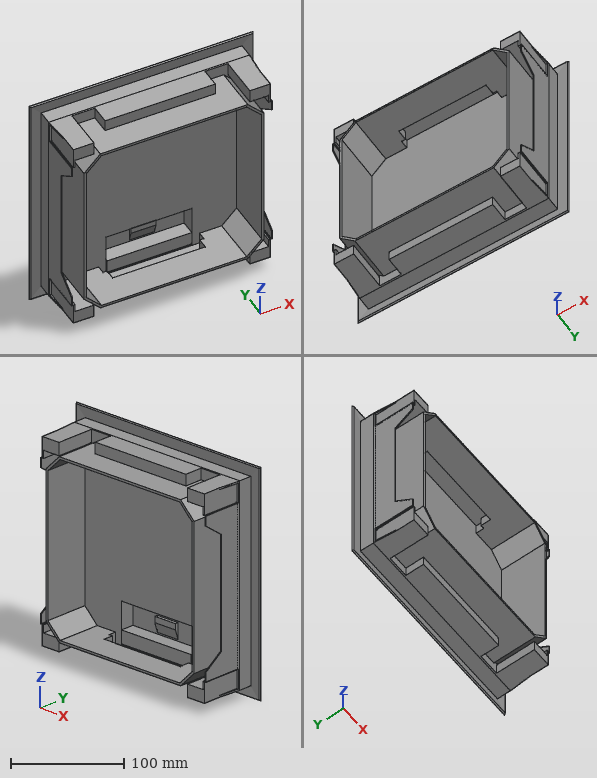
import cadquery as cq


body_size = 200.0
cover_depth = 16.0
flange_size = 223.0
flange_front_size = 221.1
flange_rim_depth = 1.0
flange_front_depth = 2.5
dish_depth = 1.8

overall_depth = 64.0
base_depth = 17.8
frame_depth = 59.7
collar_width = 179.2
collar_height = 177.7
collar_corner = 16.3
collar_wall = 2.5

post_face = 98.0
post_inner_side = 77.5
post_bottom = 87.2
web_bottom = 79.4
web_wall = 1.8
gusset_wall = 1.8
gusset_depth = 40.0

side_plate_wall = 1.0
cutout_depth = 40.0
cutout_half_floor = 56.0
cutout_half_mouth = 69.8

tab_width = 109.7
tab_depth = 37.5
tab_wall = 2.5
tab_wide_hollow = 100.3
tab_wide_depth = 24.3
tab_narrow_hollow = 92.3

opening_width = 85.8
opening_top = -54.8
opening_bottom = -95.6
latch_gap = 0.78
latch_plate_depth = 2.2
latch_block_top = -81.8
latch_block_depth = 17.0
grip_width = 25.0
grip_top = -64.0
grip_edge = -70.0
grip_bottom = -80.3
grip_depth = 5.5

half_body = body_size / 2


def at_depth(depth):
    """XZ sketch plane at a depth; extruding from it goes toward the front."""
    return cq.Workplane("XZ").workplane(offset=depth)


def block(x_min, x_max, z_min, z_max, depth_start, depth_end):
    return (
        at_depth(depth_start)
        .center((x_min + x_max) / 2, (z_min + z_max) / 2)
        .rect(x_max - x_min, z_max - z_min)
        .extrude(depth_end - depth_start)
    )


def square_frustum(back_size, back_depth, front_size, front_depth):
    return (
        at_depth(back_depth)
        .rect(back_size, back_size)
        .workplane(offset=front_depth - back_depth)
        .rect(front_size, front_size)
        .loft(ruled=True)
    )


def octagon(inset, depth_start, depth_end):
    """Rectangle with cut corners, its outline moved inward by inset."""
    corner = collar_corner - (2 - 2**0.5) * inset
    return (
        at_depth(depth_start)
        .rect(collar_width - 2 * inset, collar_height - 2 * inset)
        .extrude(depth_end - depth_start)
        .edges("|Y")
        .chamfer(corner)
    )


def make_cover():
    flange_back = square_frustum(body_size, 0, flange_size, flange_rim_depth)
    flange_rim = square_frustum(flange_size, flange_rim_depth, flange_front_size, flange_front_depth)
    dish = square_frustum(body_size, dish_depth, flange_front_size, flange_front_depth)
    body = block(-half_body, half_body, -half_body, half_body, 0, cover_depth)
    cover = flange_back.union(flange_rim).cut(dish).union(body)
    half_opening = opening_width / 2
    opening = block(-half_opening, half_opening, opening_bottom, opening_top, 0, cover_depth)
    return cover.cut(opening)


def make_post():
    """Corner post at +X, +Z with its thin web and the tapered gusset on its outer side."""
    leg = block(post_inner_side, post_face, post_bottom, half_body, cover_depth, frame_depth)
    web = block(post_face - web_wall, post_face, web_bottom, half_body, cover_depth, frame_depth)
    gusset = (
        cq.Workplane("XY")
        .workplane(offset=half_body - gusset_wall)
        .polyline([
            (post_face, -base_depth),
            (half_body, -base_depth),
            (post_face, -gusset_depth),
        ])
        .close()
        .extrude(gusset_wall)
    )
    return leg.union(web).union(gusset)


def make_side_plate():
    """Thin plate along the +X side with a trapezoidal cutout in its front edge."""
    return (
        cq.Workplane("YZ")
        .workplane(offset=half_body - side_plate_wall)
        .polyline([
            (-cover_depth, -web_bottom),
            (-frame_depth, -web_bottom),
            (-frame_depth, -cutout_half_mouth),
            (-cutout_depth, -cutout_half_floor),
            (-cutout_depth, cutout_half_floor),
            (-frame_depth, cutout_half_mouth),
            (-frame_depth, web_bottom),
            (-cover_depth, web_bottom),
        ])
        .close()
        .extrude(side_plate_wall)
    )


def make_tab():
    """Block on the +Z side of the collar."""
    half_width = tab_width / 2
    collar_inside = collar_height / 2 - collar_wall
    return block(-half_width, half_width, collar_inside, half_body, cover_depth, tab_depth)


def make_tab_hollow():
    """Stepped hollow that opens the +Z tab toward the inside of the collar."""
    bottom = collar_height / 2 - collar_wall
    top = half_body - tab_wall
    wide = tab_wide_hollow / 2
    narrow = tab_narrow_hollow / 2
    wide_part = block(-wide, wide, bottom, top, cover_depth, tab_wide_depth)
    narrow_part = block(-narrow, narrow, bottom, top, cover_depth, tab_depth - tab_wall)
    return wide_part.union(narrow_part)


def make_housing():
    housing = block(-half_body, half_body, -half_body, half_body, cover_depth, base_depth)
    housing = housing.union(octagon(0, cover_depth, overall_depth))

    side_plate = make_side_plate()
    post = make_post()
    for right_side in (side_plate, post, post.mirror("XY")):
        housing = housing.union(right_side).union(right_side.mirror("YZ"))

    tab = make_tab()
    housing = housing.union(tab).union(tab.mirror("XY"))
    housing = housing.cut(octagon(collar_wall, cover_depth, overall_depth))
    hollow = make_tab_hollow()
    return housing.cut(hollow).cut(hollow.mirror("XY"))


def make_latch():
    half_width = opening_width / 2 - latch_gap
    plate = block(-half_width, half_width, opening_bottom, opening_top, 0, latch_plate_depth)
    foot = block(-half_width, half_width, opening_bottom, latch_block_top, 0, latch_block_depth)
    grip = (
        cq.Workplane("YZ")
        .polyline([
            (-latch_plate_depth, grip_top),
            (-grip_depth, grip_top),
            (-grip_depth, grip_edge),
            (-latch_plate_depth, grip_bottom),
        ])
        .close()
        .extrude(grip_width / 2, both=True)
    )
    return plate.union(foot).union(grip)


cover = make_cover()
housing = make_housing()
latch = make_latch()

result = cq.Compound.makeCompound([body.solids().val() for body in (cover, housing, latch)])